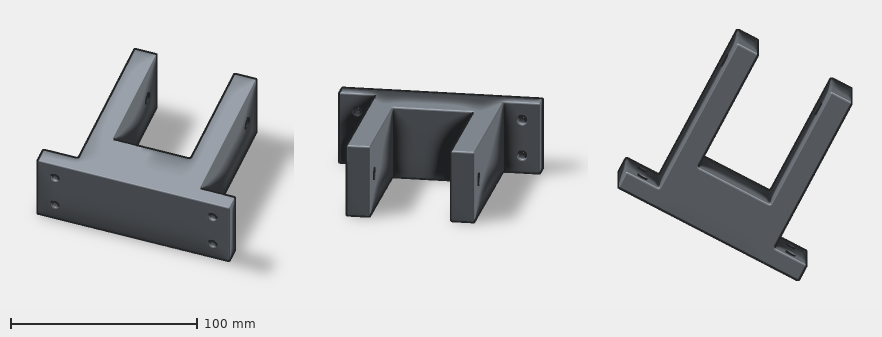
import cadquery as cq

plate_width = 110.0
plate_thickness = 10.0
height = 40.0

depth = 100.0
fork_width = 70.1
slot_width = 43.8
slot_depth = 70.0

screw_hole_diameter = 4.3
screw_edge_distance = 10.0
screw_spacing_x = plate_width - 2 * screw_edge_distance
screw_spacing_z = height - 2 * screw_edge_distance

pin_hole_diameter = 5.5
pin_end_distance = 15.0

edge_radius = 1.0


def plan_block(width, start_y, end_y):
    """Full-height block centred on X and Z, spanning start_y to end_y."""
    block = cq.Workplane("XY").box(width, end_y - start_y, height, centered=(True, False, True))
    return block.translate((0, start_y, 0))


def screw_holes():
    """Cylinders along Y for the rectangular screw pattern."""
    return (
        cq.Workplane("XZ")
        .rect(screw_spacing_x, screw_spacing_z, forConstruction=True)
        .vertices()
        .circle(screw_hole_diameter / 2)
        .extrude(-plate_thickness)
    )


def pin_hole():
    """Cylinder along X that crosses both arms near their free ends."""
    return (
        cq.Workplane("YZ")
        .center(depth - pin_end_distance, 0)
        .circle(pin_hole_diameter / 2)
        .extrude(fork_width / 2, both=True)
    )


plate = plan_block(plate_width, 0, plate_thickness)
fork = plan_block(fork_width, 0, depth)
slot = plan_block(slot_width, depth - slot_depth, depth)

body = plate.union(fork).cut(slot).cut(screw_holes()).cut(pin_hole())
result = body.edges().fillet(edge_radius)